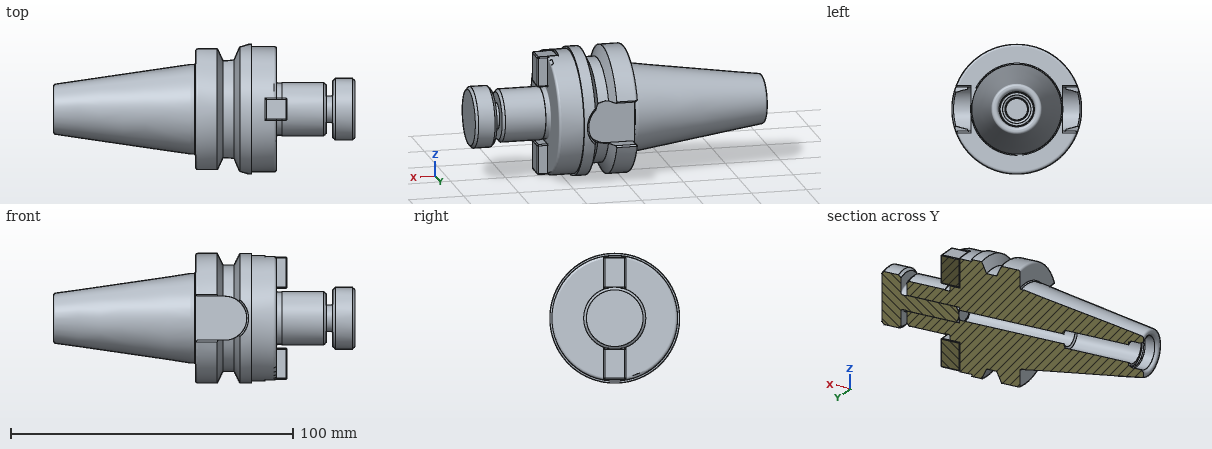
import cadquery as cq
import math

total_length = 106.8

taper_ratio = 7 / 24
taper_length = 48.6
taper_large_radius = 15.9
taper_small_radius = taper_large_radius - taper_length * taper_ratio / 2
taper_end_fillet = 1.0

flange_back_x = 50.3
flange_front_x = 70.2
flange_radius = 46.0 / 2
flange_rim_fillet = 1.0
flange_root_fillet = 0.4
groove_start_x = 58.0
groove_end_x = 66.0
groove_floor_radius = 18.9
groove_side_run = 2.0

nose_radius = 44.5 / 2
nose_front_x = 79.0
nose_rim_fillet = 1.0
relief_radius = 9.3
relief_end_x = 81.0
relief_root_fillet = 0.4
arbor_radius = 9.5
arbor_end_x = 96.7
arbor_chamfer = 1.0

mouth_fillet = 1.1
mouth_cone_angle = math.radians(30)
mouth_radius = 7.6
guide_radius = 12.5 / 2
guide_end_x = 5.1
recess_radius = 5.9
recess_end_x = 6.2
bore_radius = 5.0
bore_end_x = 32.0
bore_point_angle = math.radians(118 / 2)
thread_hole_radius = 4.2

slot_half_width = 7.8
slot_floor_y = 16.2
slot_arc_center_x = 60.7
slot_edge_chamfer = 0.6

key_start_x = 75.0
key_length = 7.8
key_width = 7.9
key_inner_z = 10.6
key_height = 11.1
key_chamfer = 0.4

screw_radius = 9.5 / 2
screw_depth = 21.4
screw_start_x = arbor_end_x - screw_depth
screw_tip_chamfer = 1.0
screw_head_radius = 11.0
screw_head_start_x = 98.9
screw_head_chamfer = 1.0
screw_neck_fillet = 0.5

selection_margin = 0.01


def revolve_profile(points):
    """Turn the outline under a list of (x, radius) points around the X axis."""
    first_x = points[0][0]
    last_x = points[-1][0]
    outline = [(first_x, 0), *points, (last_x, 0)]
    return cq.Workplane("XY").polyline(outline).close().revolve(360, (0, 0, 0), (1, 0, 0))


def edges_within(low, high):
    """Selector for edges that lie wholly between two corners, with a small margin all round."""
    grown_low = tuple(value - selection_margin for value in low)
    grown_high = tuple(value + selection_margin for value in high)
    return cq.selectors.BoxSelector(grown_low, grown_high, boundingbox=True)


def circle_edge(body, x, radius):
    """Select the circular edge centred on the axis at x with the given radius."""
    disc = edges_within((x, -radius, -radius), (x, radius, radius))
    return body.edges(disc).edges(cq.selectors.RadiusNthSelector(-1))


def make_turned_blank():
    blank = revolve_profile([
        (0, taper_small_radius),
        (taper_length, taper_large_radius),
        (flange_back_x, taper_large_radius),
        (flange_back_x, flange_radius),
        (groove_start_x, flange_radius),
        (groove_start_x + groove_side_run, groove_floor_radius),
        (groove_end_x - groove_side_run, groove_floor_radius),
        (groove_end_x, flange_radius),
        (flange_front_x, flange_radius),
        (flange_front_x, nose_radius),
        (nose_front_x, nose_radius),
        (nose_front_x, relief_radius),
        (relief_end_x, relief_radius),
        (relief_end_x, arbor_radius),
        (arbor_end_x, arbor_radius),
    ])
    blank = circle_edge(blank, 0, taper_small_radius).fillet(taper_end_fillet)
    blank = circle_edge(blank, flange_back_x, flange_radius).fillet(flange_rim_fillet)
    blank = circle_edge(blank, flange_back_x, taper_large_radius).fillet(flange_root_fillet)
    blank = circle_edge(blank, nose_front_x, nose_radius).fillet(nose_rim_fillet)
    blank = circle_edge(blank, nose_front_x, relief_radius).fillet(relief_root_fillet)
    return circle_edge(blank, arbor_end_x, arbor_radius).chamfer(arbor_chamfer)


def make_bore():
    """Stepped bore: rounded and coned mouth, guide, recess, long bore and thread hole."""
    cone_start_x = mouth_fillet * (1 - math.sin(mouth_cone_angle))
    cone_start_radius = mouth_radius - mouth_fillet * math.cos(mouth_cone_angle)
    cone_length = (cone_start_radius - guide_radius) / math.tan(mouth_cone_angle)
    guide_step = guide_radius - recess_radius
    point_length = (bore_radius - thread_hole_radius) / math.tan(bore_point_angle)
    return (
        cq.Workplane("XY")
        .lineTo(0, mouth_radius)
        .radiusArc((cone_start_x, cone_start_radius), -mouth_fillet)
        .lineTo(cone_start_x + cone_length, guide_radius)
        .lineTo(guide_end_x, guide_radius)
        .lineTo(guide_end_x + guide_step, recess_radius)
        .lineTo(recess_end_x, recess_radius)
        .lineTo(recess_end_x, bore_radius)
        .lineTo(bore_end_x, bore_radius)
        .lineTo(bore_end_x + point_length, thread_hole_radius)
        .lineTo(screw_start_x, thread_hole_radius)
        .lineTo(screw_start_x, 0)
        .close()
        .revolve(360, (0, 0, 0), (1, 0, 0))
    )


def make_screw_hole():
    return (
        cq.Workplane("YZ", origin=(screw_start_x, 0, 0))
        .circle(screw_radius)
        .extrude(screw_depth)
    )


def make_slot(side):
    """Round-ended drive slot on the -Y (side = -1) or +Y (side = 1) side of the flange."""
    outer_y = side * flange_radius
    inward_distance = side * (flange_radius - slot_floor_y)
    return (
        cq.Workplane("XZ", origin=(0, outer_y, 0))
        .moveTo(flange_back_x, -slot_half_width)
        .lineTo(slot_arc_center_x, -slot_half_width)
        .threePointArc((slot_arc_center_x + slot_half_width, 0), (slot_arc_center_x, slot_half_width))
        .lineTo(flange_back_x, slot_half_width)
        .close()
        .extrude(inward_distance)
    )


def make_key_pocket(side):
    """Square pocket for a key, open to the rim and the front of the nose disc."""
    pocket_height = flange_radius - key_inner_z
    center_x = key_start_x + key_length / 2
    center_z = side * (key_inner_z + pocket_height / 2)
    return cq.Workplane("XY").box(key_length, key_width, pocket_height).translate((center_x, 0, center_z))


def chamfer_slot_edges(holder, side):
    """Break the edges between a slot's walls and the back face and outer rim of the flange."""
    floor_y = side * slot_floor_y
    inner_y, outer_y = sorted((floor_y, side * flange_radius))
    round_end = edges_within(
        (groove_end_x, inner_y, -slot_half_width), (flange_front_x, outer_y, slot_half_width)
    )
    floor = edges_within(
        (flange_back_x, floor_y, -slot_half_width), (flange_front_x, floor_y, slot_half_width)
    )
    lower_wall, upper_wall = [
        edges_within((flange_back_x, inner_y, wall_z), (groove_start_x, outer_y, wall_z))
        for wall_z in (-slot_half_width, slot_half_width)
    ]
    return holder.edges(lower_wall + upper_wall + round_end - floor).chamfer(slot_edge_chamfer)


def make_holder():
    holder = make_turned_blank().cut(make_bore()).cut(make_screw_hole())
    for side in (-1, 1):
        holder = holder.cut(make_slot(side)).cut(make_key_pocket(side))
        holder = chamfer_slot_edges(holder, side)
    return holder


def make_key(side):
    """Drive key at the top (side = 1) or bottom (side = -1) of the nose disc."""
    center_x = key_start_x + key_length / 2
    center_z = side * (key_inner_z + key_height / 2)
    key = cq.Workplane("XY").box(key_length, key_width, key_height).edges().chamfer(key_chamfer)
    return key.translate((center_x, 0, center_z))


def make_screw():
    screw = revolve_profile([
        (screw_start_x, screw_radius),
        (screw_head_start_x, screw_radius),
        (screw_head_start_x, screw_head_radius),
        (total_length, screw_head_radius),
    ])
    screw = circle_edge(screw, screw_start_x, screw_radius).chamfer(screw_tip_chamfer)
    screw = circle_edge(screw, screw_head_start_x, screw_radius).fillet(screw_neck_fillet)
    screw = circle_edge(screw, screw_head_start_x, screw_head_radius).chamfer(screw_head_chamfer)
    return circle_edge(screw, total_length, screw_head_radius).chamfer(screw_head_chamfer)


holder = make_holder()
keys = [make_key(side) for side in (-1, 1)]
screw = make_screw()

result = cq.Compound.makeCompound([holder.val(), *[key.val() for key in keys], screw.val()])